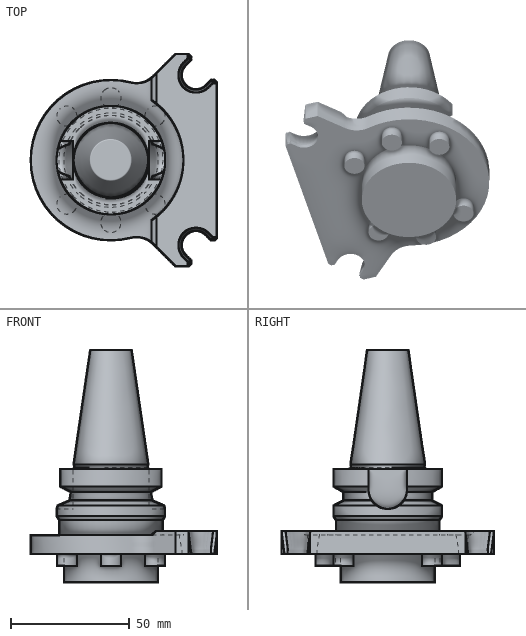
import math

import cadquery as cq


taper_top_z = 48.4
neck_start_z = -0.7
flange_top_z = -2.0
groove_top_z = -9.4
groove_floor_top_z = -11.7
groove_floor_bottom_z = -15.35
groove_bottom_z = -17.45
flange_bottom_z = -22.0
collar_top_z = -23.6
body_bottom_z = -50.0

gauge_radius = 31.75 / 2
taper_ratio = 7 / 24
taper_top_radius = gauge_radius - taper_top_z * taper_ratio / 2
taper_top_fillet = 0.5
neck_radius = 31.3 / 2
neck_fillet = 0.6
flange_radius = 45.98 / 2
groove_floor_radius = 37.8 / 2
groove_fillet = 0.2
collar_radius = 44 / 2
spigot_radius = 40 / 2

key_floor_x = 16.15
key_width = 16.3
key_bottom_z = -18.9

disc_radius = 34.0
plate_bottom_z = -38.0
disc_top_z = -30.0
arm_top_z = -28.2
arm_end_x = 44.87
arm_half_width = 45.0
arm_flank_start_x = 27.4
flank_blend_radius = 10.0
arm_corner_distance = 55.0
step_top_x = 19.2
step_run = 2.0
arm_recess_radius = 30.7

notch_center = 36.0
notch_radius = 6.0
notch_draft_angle = 10.0
notch_land_height = 1.8
tip_round = 1.2
tip_round_end = 0.8
notch_overrun = 3.0

pin_radius = 8.5 / 2
pin_circle_radius = 26.4
pin_bottom_z = -43.0
pin_angles = (45, 90, 135, 225, 270, 315)

diagonal = math.sqrt(2)


def turned_body():
    """Taper, neck, grooved flange, collar and spigot revolved about Z."""
    profile = (
        cq.Workplane("XZ")
        .moveTo(0, taper_top_z)
        .lineTo(taper_top_radius, taper_top_z)
        .lineTo(gauge_radius, 0)
        .lineTo(neck_radius, neck_start_z)
        .lineTo(neck_radius, flange_top_z + neck_fillet)
        .radiusArc((neck_radius + neck_fillet, flange_top_z), -neck_fillet)
        .lineTo(flange_radius, flange_top_z)
        .lineTo(flange_radius, groove_top_z)
        .lineTo(groove_floor_radius, groove_floor_top_z)
        .lineTo(groove_floor_radius, groove_floor_bottom_z)
        .lineTo(flange_radius, groove_bottom_z)
        .lineTo(flange_radius, flange_bottom_z)
        .lineTo(collar_radius, collar_top_z)
        .lineTo(collar_radius, disc_top_z)
        .lineTo(spigot_radius, disc_top_z)
        .lineTo(spigot_radius, body_bottom_z)
        .lineTo(0, body_bottom_z)
        .close()
    )
    body = profile.revolve(360, (0, 0, 0), (0, 1, 0))
    body = body.faces(">Z").edges().fillet(taper_top_fillet)
    floor_corners = cq.selectors.BoxSelector(
        (-flange_radius, -flange_radius, groove_floor_bottom_z - groove_fillet),
        (flange_radius, flange_radius, groove_floor_top_z + groove_fillet),
    )
    return body.edges("%CIRCLE").edges(floor_corners).fillet(groove_fillet)


def keyway(side):
    """Round-ended drive keyway; side is +1 for the +X keyway and -1 for the -X one."""
    end_center_z = key_bottom_z + key_width / 2
    half_width = key_width / 2
    depth = flange_radius - key_floor_x
    outline = (
        cq.Workplane("YZ", origin=(side * key_floor_x, 0, 0))
        .moveTo(-half_width, 0)
        .lineTo(-half_width, end_center_z)
        .threePointArc((0, key_bottom_z), (half_width, end_center_z))
        .lineTo(half_width, 0)
        .close()
    )
    return outline.extrude(side * depth)


def plate_outline():
    """Outline of disc and arm: 45 degree flanks blended tangentially into the disc."""
    flank_offset = arm_half_width - arm_flank_start_x
    center_distance = disc_radius + flank_blend_radius
    center_across = flank_offset / diagonal + flank_blend_radius
    center_along = math.sqrt(center_distance**2 - center_across**2)
    center_x = (center_along - center_across) / diagonal
    center_y = (center_along + center_across) / diagonal
    disc_tangent_x = center_x * disc_radius / center_distance
    disc_tangent_y = center_y * disc_radius / center_distance
    flank_tangent_x = center_x + flank_blend_radius / diagonal
    flank_tangent_y = center_y - flank_blend_radius / diagonal
    corner_sum = arm_corner_distance * diagonal
    corner_x = corner_sum - arm_half_width
    corner_y = corner_sum - arm_end_x
    return (
        cq.Workplane("XY", origin=(0, 0, plate_bottom_z))
        .moveTo(disc_tangent_x, disc_tangent_y)
        .threePointArc((-disc_radius, 0), (disc_tangent_x, -disc_tangent_y))
        .radiusArc((flank_tangent_x, -flank_tangent_y), flank_blend_radius)
        .lineTo(arm_flank_start_x, -arm_half_width)
        .lineTo(corner_x, -arm_half_width)
        .lineTo(arm_end_x, -corner_y)
        .lineTo(arm_end_x, corner_y)
        .lineTo(corner_x, arm_half_width)
        .lineTo(arm_flank_start_x, arm_half_width)
        .lineTo(flank_tangent_x, flank_tangent_y)
        .radiusArc((disc_tangent_x, disc_tangent_y), flank_blend_radius)
        .close()
    )


def plate():
    """Fork plate, lowered to the disc height left of a sloped step and around the body."""
    step_height = arm_top_z - disc_top_z
    blank = plate_outline().extrude(arm_top_z - plate_bottom_z)
    lowered_side = (
        cq.Workplane("XZ")
        .moveTo(-2 * disc_radius, disc_top_z)
        .lineTo(step_top_x - step_run, disc_top_z)
        .lineTo(step_top_x, arm_top_z)
        .lineTo(-2 * disc_radius, arm_top_z)
        .close()
        .extrude(2 * arm_half_width, both=True)
    )
    recess = (
        cq.Workplane("XY", origin=(0, 0, disc_top_z))
        .circle(arm_recess_radius)
        .extrude(step_height)
    )
    return blank.cut(lowered_side).cut(recess)


def notch_section(z, half_width, rounding):
    """Closed U-shaped wire opening along +X, its mouth rounded outward at the arm corner."""
    center_x = notch_center * diagonal
    mouth_x = arm_corner_distance
    outer_x = mouth_x + notch_overrun
    mouth_half = half_width + rounding
    section = (
        cq.Workplane("XY", origin=(0, 0, z))
        .moveTo(center_x, half_width)
        .threePointArc((center_x - half_width, 0), (center_x, -half_width))
        .lineTo(mouth_x - rounding, -half_width)
        .radiusArc((mouth_x, -mouth_half), -rounding)
        .lineTo(outer_x, -mouth_half)
        .lineTo(outer_x, mouth_half)
        .lineTo(mouth_x, mouth_half)
        .radiusArc((mouth_x - rounding, half_width), -rounding)
        .close()
    )
    return section.val()


def notch_cutter():
    """Notch along +X: drafted upper walls over an upright land with fading tip rounds."""
    land_top_z = plate_bottom_z + notch_land_height
    draft_height = arm_top_z - land_top_z
    top_radius = notch_radius + draft_height * math.tan(math.radians(notch_draft_angle))
    bottom = notch_section(plate_bottom_z, notch_radius, tip_round_end)
    land_top = notch_section(land_top_z, notch_radius, tip_round)
    top = notch_section(arm_top_z, top_radius, tip_round)
    land = cq.Solid.makeLoft([bottom, land_top], True)
    drafted = cq.Solid.makeLoft([land_top, top], True)
    return cq.Workplane(land).union(cq.Workplane(drafted))


def pins():
    """Round pins hanging from the underside of the plate."""
    centers = []
    for angle in pin_angles:
        angle_radians = math.radians(angle)
        x = pin_circle_radius * math.cos(angle_radians)
        y = pin_circle_radius * math.sin(angle_radians)
        centers.append((x, y))
    return (
        cq.Workplane("XY", origin=(0, 0, pin_bottom_z))
        .pushPoints(centers)
        .circle(pin_radius)
        .extrude(plate_bottom_z - pin_bottom_z)
    )


body = turned_body()
for side in (-1, 1):
    body = body.cut(keyway(side))

fork_plate = plate()
for notch_angle in (-45, 45):
    fork_plate = fork_plate.cut(notch_cutter().rotate((0, 0, 0), (0, 0, 1), notch_angle))

result = body.union(fork_plate).union(pins())